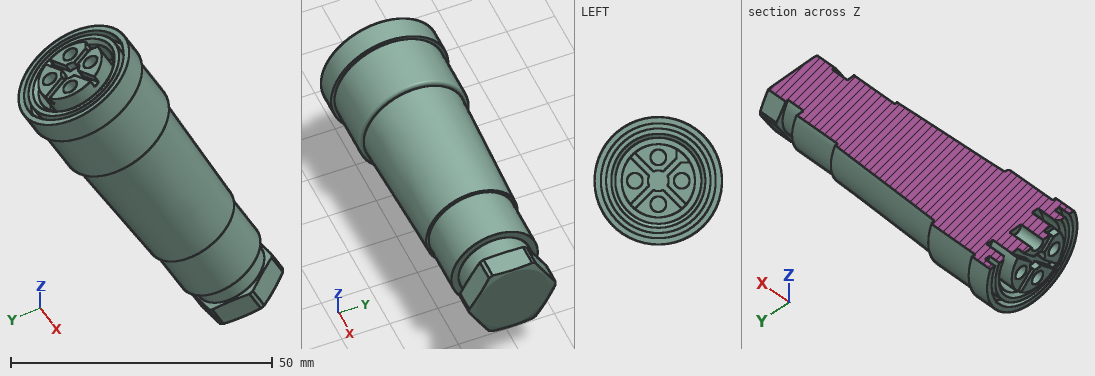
import cadquery as cq
import math


total_length = 66.5
coupling_start = 1.45
coupling_end = 6.45
collar_end = 18.5
taper_end = 46.5
sleeve_end = 57.5
nut_start = 61.6

coupling_dia = 24.5
collar_dia = 23.0
taper_start_dia = 21.15
taper_end_dia = 19.1
sleeve_dia = 18.0
neck_dia = 15.0
collar_edge_radius = 0.6

nut_across_flats = 16.0
nut_corner_dia = 18.0
nut_inner_bevel = 0.2
nut_outer_bevel = 0.3
nut_outer_face_dia = 15.0

groove_outer_dia = 22.0
groove_inner_dia = 20.0
groove_depth = 2.65
bevel_dia = 18.0
bore_dia = 16.5
bevel_depth = 0.8
bore_depth = 5.3
insert_dia = 14.0

contact_dia = 3.0
contact_circle_dia = 9.0
contact_depth = 6
contact_count = 4
recess_depth = 1.65
center_recess_dia = 4
slot_width = 1.2
slot_length = 15.95
key_corner_offset = 3.45


def cylinder(start, end, diameter):
    """Solid cylinder on the X axis between two stations."""
    return cq.Workplane("YZ", origin=(start, 0, 0)).circle(diameter / 2).extrude(end - start)


def cone(start, end, start_dia, end_dia):
    """Solid truncated cone on the X axis between two stations."""
    outline = [(start, 0), (start, start_dia / 2), (end, end_dia / 2), (end, 0)]
    return cq.Workplane("XY").polyline(outline).close().revolve(360, (0, 0, 0), (1, 0, 0))


def shell():
    """Stepped and tapered outer body, up to the gland nut."""
    collar = cylinder(coupling_end, collar_end, collar_dia).edges(">X").fillet(collar_edge_radius)
    return (
        cylinder(coupling_start, coupling_end, coupling_dia)
        .union(collar)
        .union(cone(collar_end, taper_end, taper_start_dia, taper_end_dia))
        .union(cylinder(taper_end, sleeve_end, sleeve_dia))
        .union(cylinder(sleeve_end, nut_start, neck_dia))
    )


def gland_nut():
    """Hexagon with flats facing +Z and -Z, turned to a round with a shallow cone at each end."""
    hexagon = (
        cq.Workplane("YZ", origin=(nut_start, 0, 0))
        .polygon(6, nut_across_flats / math.cos(math.pi / 6))
        .extrude(total_length - nut_start)
    )
    inner_bevel_end = nut_start + nut_inner_bevel
    outer_bevel_start = total_length - nut_outer_bevel
    turned = (
        cone(nut_start, inner_bevel_end, neck_dia, nut_corner_dia)
        .union(cylinder(inner_bevel_end, outer_bevel_start, nut_corner_dia))
        .union(cone(outer_bevel_start, total_length, nut_corner_dia, nut_outer_face_dia))
    )
    return hexagon.intersect(turned)


def socket_cavity():
    """Groove around the bore, plus the bevelled bore itself."""
    groove_end = coupling_start + groove_depth
    groove = cylinder(coupling_start, groove_end, groove_outer_dia).cut(
        cylinder(coupling_start, groove_end, groove_inner_dia)
    )
    bevel = cone(coupling_start, coupling_start + bevel_depth, bevel_dia, bore_dia)
    bore = cylinder(coupling_start, coupling_start + bore_depth, bore_dia)
    return groove.union(bevel).union(bore)


def insert_recesses():
    """Contact holes, and the shallow cross of slots with its keyway."""
    face = cq.Workplane("YZ")
    contacts = (
        face.polarArray(contact_circle_dia / 2, 0, 360, contact_count)
        .circle(contact_dia / 2)
        .extrude(contact_depth)
    )
    recess = cylinder(0, recess_depth, center_recess_dia)
    for angle in (45, -45):
        slot = face.rect(slot_length, slot_width).extrude(recess_depth)
        recess = recess.union(slot.rotate((0, 0, 0), (1, 0, 0), angle))
    key_size = insert_dia / 2 - key_corner_offset
    keyway = (
        face.center(-key_corner_offset - key_size / 2, key_corner_offset + key_size / 2)
        .rect(key_size, key_size)
        .extrude(recess_depth)
    )
    return contacts.union(recess).union(keyway)


insert = cylinder(0, coupling_start + bore_depth, insert_dia).cut(insert_recesses())
result = shell().union(gland_nut()).cut(socket_cavity()).union(insert)